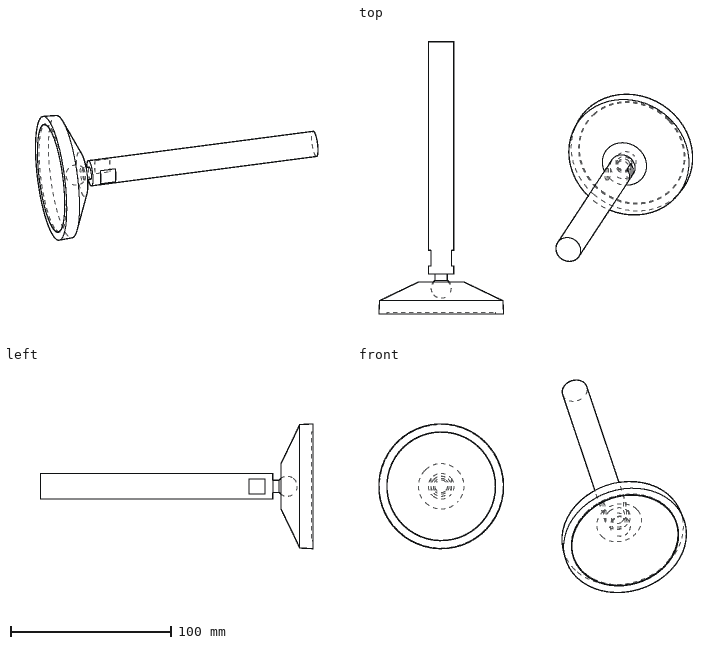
import cadquery as cq
import math

total_length = 170.0

base_diameter = 78.0
rim_top_diameter = 77.2
rim_height = 8.3
foot_height = 20.0
foot_top_diameter = 28.4
groove_outer_diameter = 68.0
groove_inner_diameter = 67.5
groove_depth = 1.0

shaft_diameter = 16.0
shaft_start = 25.0
neck_diameter = 7.8
ball_radius = 6.3
ball_center = 16.2
flats_width = 13.0
flats_start = 30.1
flats_end = 39.8


def revolve_about_y(profile):
    return profile.close().revolve(360, (0, 0, 0), (0, 1, 0))


def rod(diameter, start, end):
    """Cylinder along Y between two stations."""
    return (
        cq.Workplane("XZ", origin=(0, start, 0))
        .circle(diameter / 2)
        .extrude(start - end)
    )


def make_ball():
    return cq.Workplane("XY", origin=(0, ball_center, 0)).sphere(ball_radius)


def make_foot():
    """Tapered disc with a thin ring groove below and a ball socket above."""
    foot = revolve_about_y(
        cq.Workplane("XY")
        .lineTo(base_diameter / 2, 0)
        .lineTo(rim_top_diameter / 2, rim_height)
        .lineTo(foot_top_diameter / 2, foot_height)
        .lineTo(0, foot_height)
    )
    groove = rod(groove_outer_diameter, 0, groove_depth).cut(
        rod(groove_inner_diameter, 0, groove_depth)
    )
    return foot.cut(groove).cut(make_ball())


def make_spindle():
    """Shaft with two wrench flats, a thin neck and a ball end."""
    neck_radius = neck_diameter / 2
    neck_start = ball_center + math.sqrt(ball_radius**2 - neck_radius**2)
    spindle = revolve_about_y(
        cq.Workplane("XY")
        .moveTo(0, ball_center - ball_radius)
        .threePointArc((ball_radius, ball_center), (neck_radius, neck_start))
        .lineTo(neck_radius, shaft_start)
        .lineTo(shaft_diameter / 2, shaft_start)
        .lineTo(shaft_diameter / 2, total_length)
        .lineTo(0, total_length)
    )
    flats_length = flats_end - flats_start
    flats_middle = (flats_start + flats_end) / 2
    cutter = cq.Workplane("XY").box(shaft_diameter, flats_length, shaft_diameter)
    for side in (-1, 1):
        cutter_x = side * (flats_width + shaft_diameter) / 2
        spindle = spindle.cut(cutter.translate((cutter_x, flats_middle, 0)))
    return spindle


foot = make_foot()
spindle = make_spindle()

result = cq.Compound.makeCompound([foot.val(), spindle.val()])